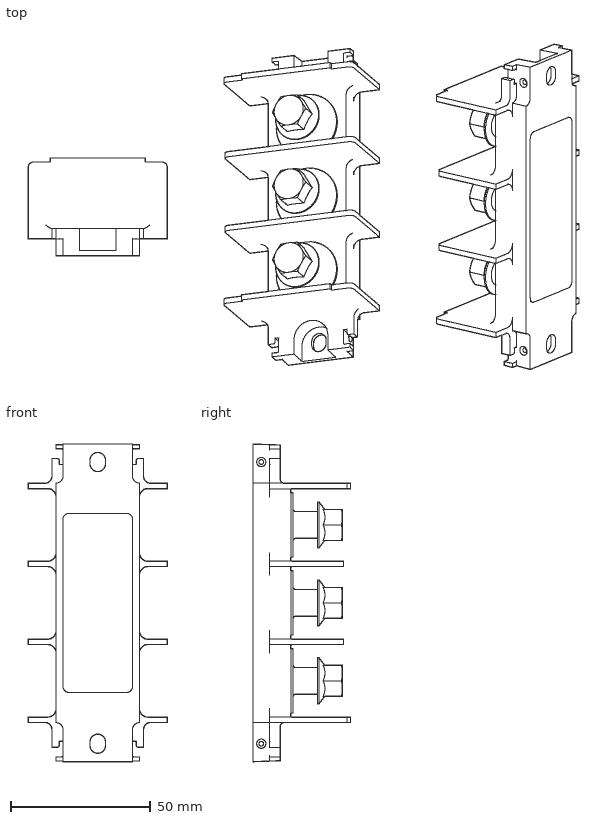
import cadquery as cq
import math


body_width = 30.0
end_width = 25.0
total_height = 114.2
body_back = 13.7
end_back = 9.9
side_step = 6.1
shoulder_radius = 2.5

fin_pitch = 28.0
fin_thickness = 2.0
fin_width = 50.0
inner_fin_back = 32.6
outer_fin_back = 33.8
fin_corner_radius = 2.0
tab_width = 34.2
tab_back = 35.2
fin_levels = [-1.5 * fin_pitch, -0.5 * fin_pitch, 0.5 * fin_pitch, 1.5 * fin_pitch]
bay_levels = [-fin_pitch, 0.0, fin_pitch]
bay_height = fin_pitch - fin_thickness
fin_side_radius = 3.0
fin_back_radius = 0.4

end_start = fin_levels[-1] + fin_thickness / 2
end_top = total_height / 2
hook_half_width = 16.5
hook_radius = 2.5
hook_top = 51.9
hook_gap_floor = 49.8
hook_inner_face = 13.8
hook_nose_radius = 0.8
ear_thickness = 1.8
ear_root_radius = 0.4
end_draft_drop = 0.35
end_back_radius = 1.4
slot_center = 50.6
slot_width = 5.5
slot_length = 6.8
recess_radius = 6.5
recess_floor = 2.0
recess_center = slot_center + (slot_length - slot_width) / 2
side_hole_y = 3.05
side_hole_diameter = 1.7
side_hole_depth = 2.5
countersink_diameter = 3.3
countersink_depth = 0.8

pocket_width = 25.0
pocket_height = 64.4
pocket_depth = 4.0
pocket_corner_radius = 2.2
pocket_wall_slope = 0.45
pocket_taper = math.degrees(math.atan2(pocket_wall_slope, pocket_depth))
pocket_floor_radius = 1.0

pad_radius = 11.6
pad_back = 14.5
stud_radius = 4.85
stud_base_radius = 0.9
flange_front = 23.2
flange_rim = 0.6
flange_radius = 8.3
flange_cone_back = 25.9
head_back = 32.2
head_across_flats = 11.1
head_core_radius = 5.6
head_chamfer_height = 0.4


def box(x_range, y_range, z_range):
    size = [high - low for low, high in (x_range, y_range, z_range)]
    corner = (x_range[0], y_range[0], z_range[0])
    return cq.Workplane("XY").box(*size, centered=False).translate(corner)


def arc_midpoint(center, radius, x_sign, z_sign):
    """Middle of a quarter arc lying on the given diagonal side of its center."""
    offset = radius * math.sqrt(0.5)
    return (center[0] + x_sign * offset, center[1] + z_sign * offset)


def extrude_back(outline, front, back):
    """Extrude an outline drawn on the XZ plane from Y = front to Y = back."""
    return outline.extrude(-(back - front)).translate((0, front, 0))


def with_mirror(solid, plane):
    return solid.union(solid.mirror(plane))


def flared_bay(plane, face, radius):
    """Outline from the axis to a face that flares out at both bounding fins."""
    half = bay_height / 2
    center = (face + radius, half - radius)
    return (
        cq.Workplane(plane)
        .moveTo(0, -half)
        .lineTo(face + radius, -half)
        .threePointArc(arc_midpoint((center[0], -center[1]), radius, -1, -1), (face, -center[1]))
        .lineTo(face, center[1])
        .threePointArc(arc_midpoint(center, radius, -1, 1), (face + radius, half))
        .lineTo(0, half)
        .close()
    )


def make_bay():
    """Body between two fins, blended into the fins at its sides and back."""
    side = extrude_back(
        flared_bay("XZ", body_width / 2, fin_side_radius), side_step, body_back + fin_back_radius
    )
    back = flared_bay("YZ", body_back, fin_back_radius).extrude(fin_width / 2, both=True)
    return with_mirror(side, "YZ").intersect(back)


def make_base():
    """Front part of the body, with narrower ends behind rounded shoulders."""
    middle = box((-body_width / 2, body_width / 2), (0, side_step), (-end_start, end_start))
    neck = end_width / 2
    center = (neck + shoulder_radius, end_start + shoulder_radius)
    end_outline = (
        cq.Workplane("XZ")
        .moveTo(0, end_start)
        .lineTo(center[0], end_start)
        .threePointArc(arc_midpoint(center, shoulder_radius, -1, -1), (neck, center[1]))
        .lineTo(neck, end_top)
        .lineTo(0, end_top)
        .close()
    )
    end = with_mirror(extrude_back(end_outline, 0, side_step), "YZ")
    return middle.union(with_mirror(end, "XY"))


def make_upper_end():
    """Rear part of the upper end: core, hooks and ears, blended into the outer fin."""
    neck = end_width / 2
    rear = end_back + end_back_radius
    foot = (hook_half_width + hook_radius, end_start + hook_radius)
    nose = (hook_inner_face + hook_nose_radius, hook_top - hook_nose_radius)
    ear_floor = end_top - ear_thickness
    ear_root = (neck + ear_root_radius, ear_floor - ear_root_radius)
    outline = (
        cq.Workplane("XZ")
        .moveTo(0, end_start)
        .lineTo(foot[0], end_start)
        .threePointArc(arc_midpoint(foot, hook_radius, -1, -1), (hook_half_width, foot[1]))
        .lineTo(hook_half_width, hook_top)
        .lineTo(nose[0], hook_top)
        .threePointArc(arc_midpoint(nose, hook_nose_radius, -1, 1), (hook_inner_face, nose[1]))
        .lineTo(hook_inner_face, hook_gap_floor)
        .lineTo(neck, hook_gap_floor)
        .lineTo(neck, ear_root[1])
        .threePointArc(arc_midpoint(ear_root, ear_root_radius, -1, 1), (ear_root[0], ear_floor))
        .lineTo(body_width / 2, ear_floor)
        .lineTo(body_width / 2, end_top)
        .lineTo(0, end_top)
        .close()
    )
    side = extrude_back(outline, side_step, rear)
    center = (rear, end_start + end_back_radius)
    back = (
        cq.Workplane("YZ")
        .moveTo(0, end_start)
        .lineTo(rear, end_start)
        .threePointArc(arc_midpoint(center, end_back_radius, -1, -1), (end_back, center[1]))
        .lineTo(end_back, end_top)
        .lineTo(0, end_top)
        .close()
        .extrude(fin_width / 2, both=True)
    )
    return with_mirror(side, "YZ").intersect(back)


def make_fin(level, back):
    z_range = (level - fin_thickness / 2, level + fin_thickness / 2)
    fin = box((-fin_width / 2, fin_width / 2), (side_step, back), z_range)
    return fin.edges("|Z and >Y").fillet(fin_corner_radius)


def make_outer_fin(level):
    z_range = (level - fin_thickness / 2, level + fin_thickness / 2)
    tab = box((-tab_width / 2, tab_width / 2), (side_step, tab_back), z_range)
    return make_fin(level, outer_fin_back).union(tab)


def make_stud():
    """Pad, stud, coned flange and hexagonal head around the Y axis."""
    base_center = (stud_radius + stud_base_radius, pad_back + stud_base_radius)
    turned = (
        cq.Workplane("XY")
        .moveTo(0, side_step)
        .lineTo(pad_radius, side_step)
        .lineTo(pad_radius, pad_back)
        .lineTo(base_center[0], pad_back)
        .threePointArc(
            arc_midpoint(base_center, stud_base_radius, -1, -1), (stud_radius, base_center[1])
        )
        .lineTo(stud_radius, flange_front)
        .lineTo(flange_radius, flange_front)
        .lineTo(flange_radius, flange_front + flange_rim)
        .lineTo(head_core_radius, flange_cone_back)
        .lineTo(head_core_radius, head_back)
        .lineTo(0, head_back)
        .close()
        .revolve(360, (0, 0, 0), (0, 1, 0))
    )
    corner_radius = head_across_flats / 2 / math.cos(math.pi / 6)
    hexagon = cq.Workplane("XZ").polygon(6, 2 * corner_radius)
    head = extrude_back(hexagon, flange_front, head_back)
    envelope = extrude_back(cq.Workplane("XZ").circle(corner_radius), flange_front, head_back)
    chamfer_width = corner_radius - head_core_radius
    envelope = envelope.faces(">Y").edges().chamfer(head_chamfer_height, chamfer_width)
    return turned.union(head.intersect(envelope))


def make_pocket():
    """Tapered pocket in the mounting face with rounded corners and floor edge."""
    profile = cq.Sketch().rect(pocket_width, pocket_height).vertices().fillet(pocket_corner_radius)
    pocket = cq.Workplane("XZ").placeSketch(profile).extrude(-pocket_depth, taper=pocket_taper)
    return pocket.faces(">Y").edges().fillet(pocket_floor_radius)


def make_end_cut():
    """Bolt recess, mounting slot and the two countersunk side holes of the upper end."""
    slot = extrude_back(
        cq.Workplane("XZ").center(0, slot_center).slot2D(slot_length, slot_width, 90), 0, recess_floor
    )
    recess_round = extrude_back(
        cq.Workplane("XZ").center(0, recess_center).circle(recess_radius), recess_floor, tab_back
    )
    recess_mouth = box(
        (-recess_radius, recess_radius), (recess_floor, tab_back), (recess_center, end_top)
    )
    recess = recess_round.union(recess_mouth)
    mouth = cq.Vector(-end_width / 2, side_hole_y, slot_center)
    inward = cq.Vector(1, 0, 0)
    drill_radius = side_hole_diameter / 2
    drill = cq.Solid.makeCylinder(drill_radius, side_hole_depth, mouth, inward)
    countersink = cq.Solid.makeCone(
        countersink_diameter / 2, drill_radius, countersink_depth, mouth, inward
    )
    side_hole = cq.Workplane(drill).union(cq.Workplane(countersink))
    return slot.union(recess).union(with_mirror(side_hole, "YZ"))


def make_draft_cut():
    """Thin wedge that leans the upper end face inward toward the back."""
    return (
        cq.Workplane("YZ")
        .polyline([(0, end_top), (end_back, end_top - end_draft_drop), (end_back, end_top)])
        .close()
        .extrude(fin_width / 2, both=True)
    )


def make_part():
    end_cut = make_end_cut().union(make_draft_cut())
    part = make_base().union(with_mirror(make_upper_end(), "XY"))
    part = part.cut(with_mirror(end_cut, "XY"))
    bay = make_bay()
    stud = make_stud()
    for level in bay_levels:
        part = part.union(bay.translate((0, 0, level)))
        part = part.union(stud.translate((0, 0, level)))
    for level in fin_levels[1:-1]:
        part = part.union(make_fin(level, inner_fin_back))
    for level in (fin_levels[0], fin_levels[-1]):
        part = part.union(make_outer_fin(level))
    return part.cut(make_pocket())


result = make_part()